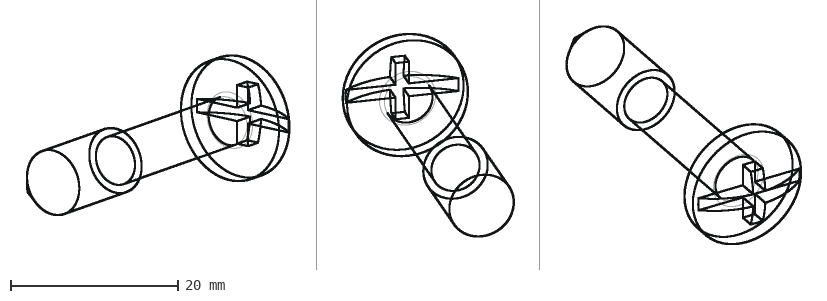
import cadquery as cq
import math

total_length = 43.95
rim_height = 2.02
dome_height = 3.0
barrel_length = 12.0
tip_length = 4.95

head_radius = 15.0 / 2
shank_radius = 6.0 / 2
barrel_radius = 8.0 / 2
neck_fillet = 0.5

slot_width = 1.65
slot_depth = 2.55
arm_length = 7.3

head_height = rim_height + dome_height
dome_radius = (head_radius**2 + dome_height**2) / (2 * dome_height)
dome_center_y = head_height - dome_radius


def dome_y(radius):
    """Height of the dome surface at a distance from the axis."""
    return dome_center_y + math.sqrt(dome_radius**2 - radius**2)


recess_corner_radius = math.hypot(slot_width / 2, slot_width / 2)
tip_y = dome_y(recess_corner_radius) - total_length
barrel_front_y = tip_y + tip_length
barrel_back_y = barrel_front_y + barrel_length


def turned_body():
    """Head, shank, barrel and conical tip revolved about the Y axis."""
    profile = (
        cq.Workplane("XY")
        .moveTo(0, tip_y)
        .lineTo(barrel_radius, barrel_front_y)
        .lineTo(barrel_radius, barrel_back_y)
        .lineTo(shank_radius, barrel_back_y)
        .lineTo(shank_radius, -neck_fillet)
        .radiusArc((shank_radius + neck_fillet, 0), neck_fillet)
        .lineTo(head_radius, 0)
        .lineTo(head_radius, rim_height)
        .threePointArc((head_radius / 2, dome_y(head_radius / 2)), (0, head_height))
        .close()
    )
    return profile.revolve(360, (0, 0, 0), (0, 1, 0))


def recess_cutter(x_size, z_size):
    """Box reaching down from the top of the dome to the recess floor."""
    floor_y = head_height - slot_depth
    box = cq.Workplane("XY").box(x_size, slot_depth, z_size, centered=(True, False, True))
    return box.translate((0, floor_y, 0))


through_slot = recess_cutter(2 * head_radius, slot_width)
cross_arm = recess_cutter(slot_width, arm_length)
result = turned_body().cut(through_slot).cut(cross_arm)